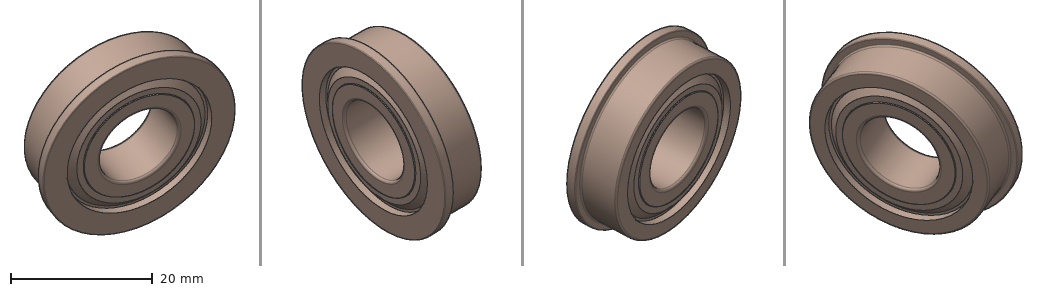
import cadquery as cq

WIDTH = 7.95

FLANGE_DIAMETER = 31.1
FLANGE_WIDTH = 1.6
FLANGE_EDGE_RADIUS = 0.12
BODY_DIAMETER = 28.6
BODY_EDGE_RADIUS = 0.28
FLANGE_ROOT_RADIUS = 0.25
SHIELD_SEAT_DIAMETER = 23.43

INNER_RING_DIAMETER = 17.85
BORE_DIAMETER = 12.7
BORE_EDGE_RADIUS = 0.4

SHIELD_BORE_DIAMETER = 18.05
CONE_BASE_DIAMETER = 22.6
CONE_TOP_DIAMETER = 20.13
RIM_DEPTH = 1.18
RAISED_DEPTH = 0.15

MATCH_TOLERANCE = 0.003


def revolve_about_x(points):
    """Revolve a closed outline of (x, radius) points about the bearing axis."""
    outline = cq.Workplane("XY").polyline(points).close()
    return outline.revolve(axisStart=(0, 0, 0), axisEnd=(1, 0, 0))


def circle_edges(body, x, diameter):
    """Select the circular edge of the given diameter that lies at x."""
    chosen = [
        edge for edge in body.edges("%CIRCLE").vals()
        if abs(edge.Center().x - x) < MATCH_TOLERANCE
        and abs(edge.radius() - diameter / 2) < MATCH_TOLERANCE
    ]
    return body.newObject(chosen)


def make_outer_ring():
    flange_x = WIDTH - FLANGE_WIDTH
    seat_radius = SHIELD_SEAT_DIAMETER / 2
    body_radius = BODY_DIAMETER / 2
    flange_radius = FLANGE_DIAMETER / 2
    ring = revolve_about_x([
        (0, seat_radius),
        (0, body_radius),
        (flange_x, body_radius),
        (flange_x, flange_radius),
        (WIDTH, flange_radius),
        (WIDTH, seat_radius),
    ])
    ring = circle_edges(ring, 0, BODY_DIAMETER).fillet(BODY_EDGE_RADIUS)
    ring = circle_edges(ring, flange_x, BODY_DIAMETER).fillet(FLANGE_ROOT_RADIUS)
    for x in (flange_x, WIDTH):
        ring = circle_edges(ring, x, FLANGE_DIAMETER).fillet(FLANGE_EDGE_RADIUS)
    return ring


def make_inner_ring():
    bore_radius = BORE_DIAMETER / 2
    ring_radius = INNER_RING_DIAMETER / 2
    ring = revolve_about_x([
        (0, bore_radius),
        (0, ring_radius),
        (WIDTH, ring_radius),
        (WIDTH, bore_radius),
    ])
    for x in (0, WIDTH):
        ring = circle_edges(ring, x, BORE_DIAMETER).fillet(BORE_EDGE_RADIUS)
    return ring


def make_shield():
    """One ring that fills the space between the rings, alike on both faces."""
    near_face = [
        (RAISED_DEPTH, SHIELD_BORE_DIAMETER / 2),
        (RAISED_DEPTH, CONE_TOP_DIAMETER / 2),
        (RIM_DEPTH, CONE_BASE_DIAMETER / 2),
        (RIM_DEPTH, SHIELD_SEAT_DIAMETER / 2),
    ]
    far_face = [(WIDTH - x, radius) for x, radius in reversed(near_face)]
    return revolve_about_x(near_face + far_face)


outer_ring = make_outer_ring()
inner_ring = make_inner_ring()
shield = make_shield()

result = cq.Compound.makeCompound([outer_ring.val(), inner_ring.val(), shield.val()])